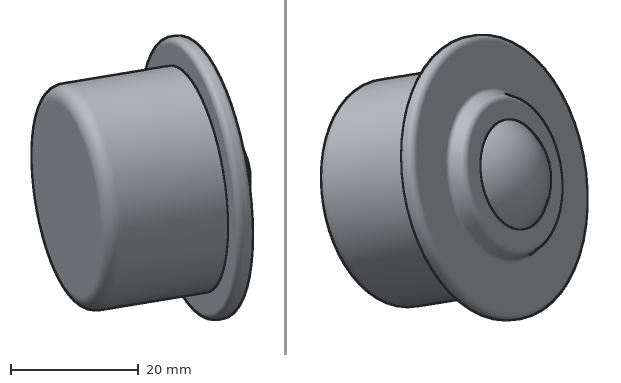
import cadquery as cq

body_radius = 18.0
body_length = 20.2
base_fillet = 2.4

flange_radius = 22.5
flange_thickness = 2.85
flange_fillet = 1.1

collar_base_radius = 13.45
collar_top_radius = 12.38
collar_height = 2.65
collar_top_fillet = 1.0
collar_root_fillet = 0.68

ball_radius = 11.0
total_length = 29.95

edge_tolerance = 0.005

flange_top = body_length + flange_thickness
collar_top = flange_top + collar_height
ball_center = total_length - ball_radius


def make_housing():
    """Cup, flange and tapered collar as one turned solid with rounded edges."""
    profile = [
        (0, 0),
        (body_radius, 0),
        (body_radius, body_length),
        (flange_radius, body_length),
        (flange_radius, flange_top),
        (collar_base_radius, flange_top),
        (collar_top_radius, collar_top),
        (0, collar_top),
    ]
    housing = cq.Workplane("XY").polyline(profile).close().revolve(360, (0, 0), (0, 1))

    rounded_edges = [
        (body_radius, 0, base_fillet),
        (flange_radius, body_length, flange_fillet),
        (flange_radius, flange_top, flange_fillet),
        (collar_base_radius, flange_top, collar_root_fillet),
        (collar_top_radius, collar_top, collar_top_fillet),
    ]
    for radius, height, fillet in rounded_edges:
        ring = housing.edges("%CIRCLE").filter(
            lambda e: abs(e.radius() - radius) < edge_tolerance
            and abs(e.Center().y - height) < edge_tolerance
        )
        housing = ring.fillet(fillet)
    return housing


def make_ball():
    """Load ball, protruding through the top of the collar."""
    return cq.Workplane("XY").sphere(ball_radius).translate((0, ball_center, 0))


result = make_housing().union(make_ball())